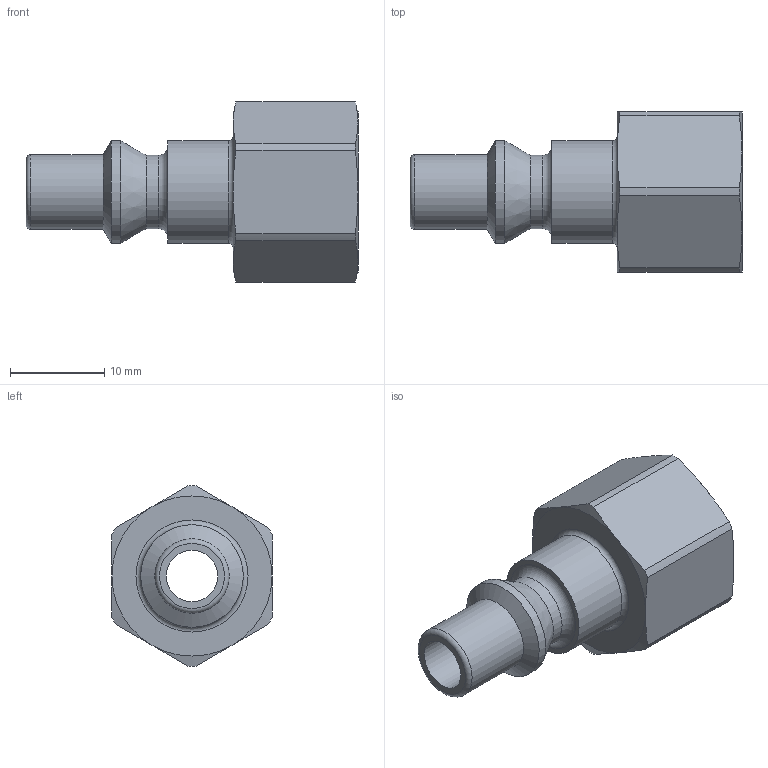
import cadquery as cq
import math

total_length = 35.25

bore_radius = 5.5 / 2
tip_radius = 7.9 / 2
tip_fillet = 0.5
body_radius = 10.9 / 2
groove_radius = 7.8 / 2
lead_start = 8.2
collar_width = 1.0
lead_angle = math.radians(60)
ramp_angle = math.radians(30)
groove_fillet = 1.0
body_start = 15.06
body_fillet = 0.5

hex_sides = 6
hex_start = 22.0
across_flats = 17.0
turned_corner_radius = 19.15 / 2
chamfer_angle = math.radians(15)


def plug_nose():
    """Revolved tip, locking collar, groove and body, ending at the hexagon."""
    collar_start = lead_start + (body_radius - tip_radius) / math.tan(lead_angle)
    collar_end = collar_start + collar_width
    ramp_end = collar_end + (body_radius - groove_radius) / math.tan(ramp_angle)
    diagonal = math.sqrt(0.5)
    tip_arc_middle = (tip_fillet * (1 - diagonal), tip_radius - tip_fillet * (1 - diagonal))
    groove_arc_start = body_start - groove_fillet
    groove_arc_middle = (
        groove_arc_start + groove_fillet * diagonal,
        groove_radius + groove_fillet * (1 - diagonal),
    )
    body_arc_start = hex_start - body_fillet
    body_arc_middle = (
        body_arc_start + body_fillet * diagonal,
        body_radius + body_fillet * (1 - diagonal),
    )
    profile = (
        cq.Workplane("XY")
        .lineTo(0, tip_radius - tip_fillet)
        .threePointArc(tip_arc_middle, (tip_fillet, tip_radius))
        .lineTo(lead_start, tip_radius)
        .lineTo(collar_start, body_radius)
        .lineTo(collar_end, body_radius)
        .lineTo(ramp_end, groove_radius)
        .lineTo(groove_arc_start, groove_radius)
        .threePointArc(groove_arc_middle, (body_start, groove_radius + groove_fillet))
        .lineTo(body_start, body_radius)
        .lineTo(body_arc_start, body_radius)
        .threePointArc(body_arc_middle, (hex_start, body_radius + body_fillet))
        .lineTo(hex_start, 0)
        .close()
    )
    return profile.revolve(360, (0, 0), (1, 0))


def hexagon():
    """Hexagonal prism with flats facing +Y and -Y, turned at its corners and both ends."""
    flat_radius = across_flats / 2
    across_corners = across_flats / math.cos(math.pi / hex_sides)
    prism = (
        cq.Workplane("YZ", origin=(hex_start, 0, 0))
        .transformed(rotate=(0, 0, 90))
        .polygon(hex_sides, across_corners)
        .extrude(total_length - hex_start)
    )
    chamfer_length = (turned_corner_radius - flat_radius) * math.tan(chamfer_angle)
    turned_envelope = (
        cq.Workplane("XY")
        .moveTo(hex_start, 0)
        .lineTo(hex_start, flat_radius)
        .lineTo(hex_start + chamfer_length, turned_corner_radius)
        .lineTo(total_length - chamfer_length, turned_corner_radius)
        .lineTo(total_length, flat_radius)
        .lineTo(total_length, 0)
        .close()
        .revolve(360, (0, 0), (1, 0))
    )
    return prism.intersect(turned_envelope)


def through_bore():
    """Round passage along the whole axis."""
    return cq.Workplane("YZ").circle(bore_radius).extrude(total_length)


result = plug_nose().union(hexagon()).cut(through_bore())